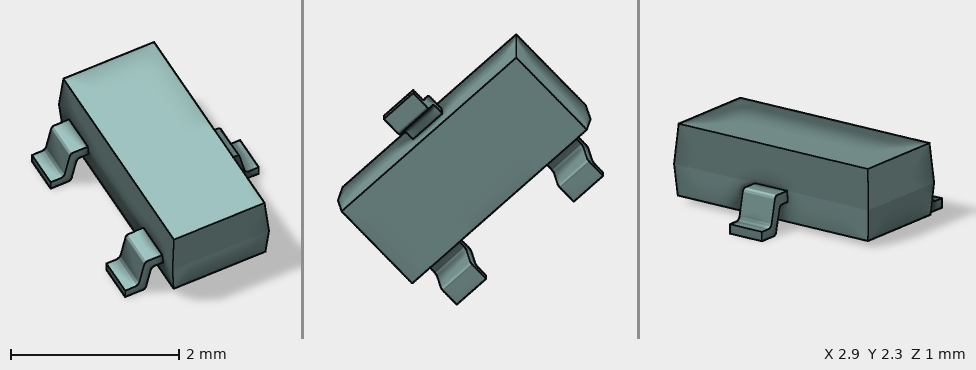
import cadquery as cq
import math

HOUSING_LENGTH = 2.9
HOUSING_WIDTH = 1.3
OVERALL_HEIGHT = 1.0
PARTING_Z = OVERALL_HEIGHT / 2
STANDOFF = 0.1
DRAFT_ANGLE = 4.5

LEAD_SPAN = 2.3
LEAD_WIDTH = 0.478
LEAD_PITCH = 1.9
SHOULDER_THICKNESS = 0.142
FOOT_THICKNESS = 0.12
FOOT_LENGTH = 0.18
LEG_THICKNESS = 0.12
LEG_ANGLE = 12.7
CONVEX_BEND_RADIUS = 0.055
CONCAVE_BEND_RADIUS = 0.065


def housing_half(height):
    """Half of the housing, narrowing away from the parting plane; a negative height goes down."""
    return (
        cq.Workplane("XY", origin=(0, 0, PARTING_Z))
        .rect(HOUSING_LENGTH, HOUSING_WIDTH)
        .extrude(height, taper=DRAFT_ANGLE)
    )


def make_housing():
    upper_half = housing_half(OVERALL_HEIGHT - PARTING_Z)
    lower_half = housing_half(STANDOFF - PARTING_Z)
    return upper_half.union(lower_half)


def make_lead():
    """One lead on the -Y side, centred on X = 0, ending flush on the drafted housing wall."""
    leg_slope = math.tan(math.radians(LEG_ANGLE))
    leg_run = LEG_THICKNESS / math.cos(math.radians(LEG_ANGLE))
    tip_y = -LEAD_SPAN / 2
    wall_y = -HOUSING_WIDTH / 2
    shoulder_z = PARTING_Z - SHOULDER_THICKNESS
    wall_inset = SHOULDER_THICKNESS * math.tan(math.radians(DRAFT_ANGLE))

    def leg_outer_y(z):
        return tip_y + FOOT_LENGTH + (z - FOOT_THICKNESS) * leg_slope

    def leg_inner_y(z):
        return leg_outer_y(z) + leg_run

    instep = (leg_outer_y(FOOT_THICKNESS), FOOT_THICKNESS)
    knee = (leg_outer_y(PARTING_Z), PARTING_Z)
    underarm = (leg_inner_y(shoulder_z), shoulder_z)
    heel = (leg_inner_y(0), 0)
    outline = [
        (tip_y, 0),
        (tip_y, FOOT_THICKNESS),
        instep,
        knee,
        (wall_y, PARTING_Z),
        (wall_y + wall_inset, shoulder_z),
        underarm,
        heel,
    ]
    lead = cq.Workplane("YZ").polyline(outline).close().extrude(LEAD_WIDTH / 2, both=True)

    bend_radii = [
        (instep, CONCAVE_BEND_RADIUS),
        (knee, CONVEX_BEND_RADIUS),
        (underarm, CONCAVE_BEND_RADIUS),
        (heel, CONVEX_BEND_RADIUS),
    ]
    for (y, z), radius in bend_radii:
        lead = lead.edges(cq.selectors.NearestToPointSelector((0, y, z))).fillet(radius)
    return lead


housing = make_housing()

front_leads = [make_lead().translate((x, 0, 0)) for x in (-LEAD_PITCH / 2, LEAD_PITCH / 2)]
back_lead = make_lead().rotate((0, 0, 0), (0, 0, 1), 180)
leads = [*front_leads, back_lead]

result = cq.Compound.makeCompound([housing.val(), *[lead.val() for lead in leads]])